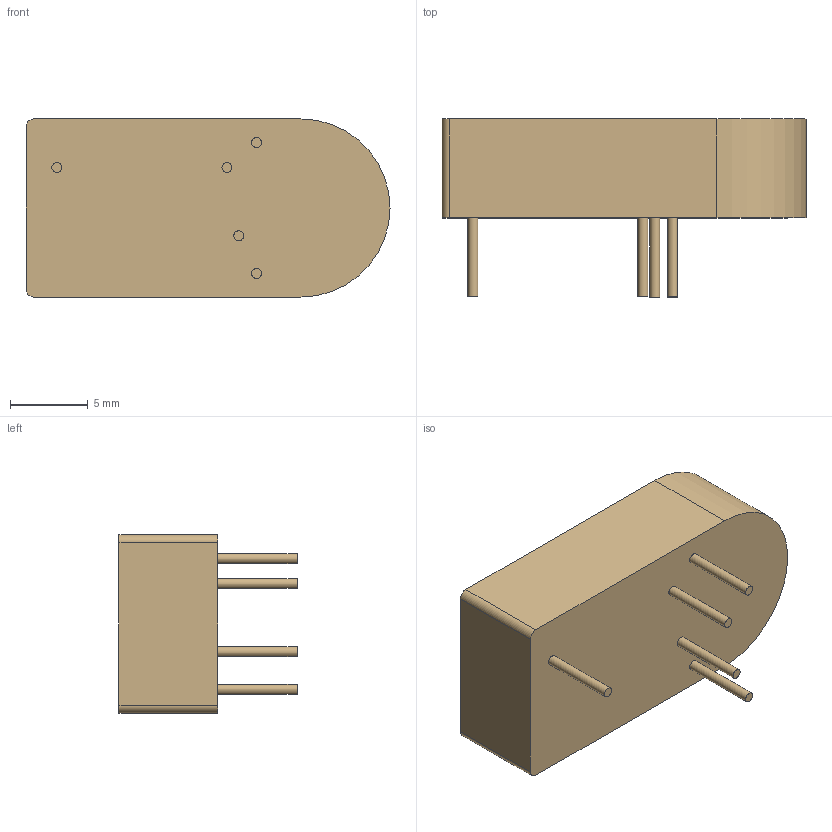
import cadquery as cq

BODY_LENGTH = 23.37
BODY_HEIGHT = 11.43
BODY_DEPTH = 6.35
CORNER_RADIUS = 0.5
END_RADIUS = BODY_HEIGHT / 2
STRAIGHT_LENGTH = BODY_LENGTH - END_RADIUS

PIN_DIAMETER = 0.64
PIN_LENGTH = 5.08

UPPER_ROW_Z = 2.6
OUTER_PAIR_X = 14.8
OUTER_PAIR_Z = 4.2
PIN_CENTERS = [
    (1.98, UPPER_ROW_Z),
    (12.9, UPPER_ROW_Z),
    (13.66, -1.78),
    (OUTER_PAIR_X, OUTER_PAIR_Z),
    (OUTER_PAIR_X, -OUTER_PAIR_Z),
]


def make_body():
    """Extrude the outline from Y = 0 to +Y and round the two flat-end corners."""
    outline = (
        cq.Workplane("XZ")
        .moveTo(0, -END_RADIUS)
        .lineTo(STRAIGHT_LENGTH, -END_RADIUS)
        .threePointArc((BODY_LENGTH, 0), (STRAIGHT_LENGTH, END_RADIUS))
        .lineTo(0, END_RADIUS)
        .close()
    )
    body = outline.extrude(-BODY_DEPTH)
    return body.faces("<X").edges("|Y").fillet(CORNER_RADIUS)


def make_pins():
    """Round pins running from the body's Y = 0 face toward -Y."""
    pin_points = cq.Workplane("XZ").pushPoints(PIN_CENTERS)
    return pin_points.circle(PIN_DIAMETER / 2).extrude(PIN_LENGTH)


result = make_body().union(make_pins())